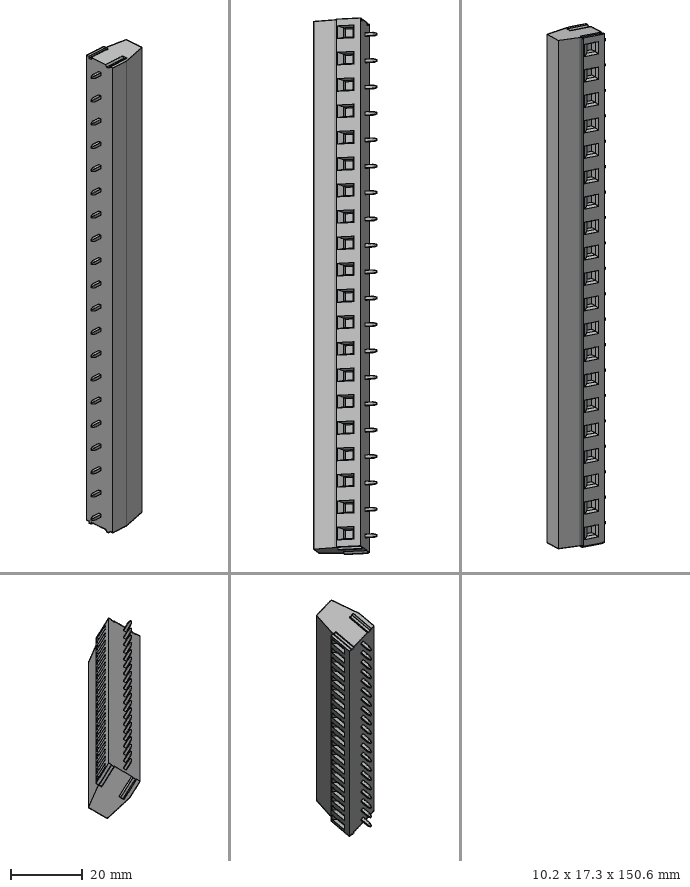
import cadquery as cq

total_length = 150.6
width = 10.2
total_depth = 17.3
pin_length = 3.3
body_depth = total_depth - pin_length

pole_count = 20
tab_height = 0.6
body_length = total_length - tab_height
pitch = body_length / pole_count

top_left = 1.8
top_right = 8.0
ledge_depth = 0.9
neck_y = 7.5
ledge_y = 7.0
shoulder_right_y = 5.5

entry_y_low = 2.0
entry_y_high = 6.6
entry_height = 3.6
throat_y_low = 2.4
throat_y_high = 5.1
throat_height = 2.7
funnel_depth = 1.0
throat_depth = 3.0

pin_x = 5.3
pin_size = 0.9
pin_tip_length = 0.9
pin_tip_size = 0.5

tab_y_high = 6.8
left_tab_x = 1.4
left_tab_root = 0.9
left_tab_crest = left_tab_root
right_tab_x = 8.3
right_tab_root = 1.7
right_tab_crest = 0.8


def make_housing():
    """Plain housing with a constant outline along Z."""
    outline = [
        (0, 0),
        (width, 0),
        (width, shoulder_right_y),
        (top_right, body_depth),
        (top_left, body_depth),
        (ledge_depth, neck_y),
        (ledge_depth, ledge_y),
        (0, ledge_y),
    ]
    return cq.Workplane("XY").polyline(outline).close().extrude(body_length)


def make_rail(center_x, root, crest, root_z):
    """Rail along Y that hangs down from root_z."""
    outline = [
        (center_x - root / 2, root_z),
        (center_x + root / 2, root_z),
        (center_x + crest / 2, root_z - tab_height),
        (center_x - crest / 2, root_z - tab_height),
    ]
    return cq.Workplane("XZ").polyline(outline).close().extrude(-tab_y_high)


def make_wire_entry(z):
    """Volume to remove for one wire entry centred at height z."""
    entry_y = (entry_y_low + entry_y_high) / 2
    throat_y = (throat_y_low + throat_y_high) / 2
    throat_width = throat_y_high - throat_y_low
    funnel = (
        cq.Workplane("YZ")
        .center(entry_y, z)
        .rect(entry_y_high - entry_y_low, entry_height)
        .workplane(offset=funnel_depth)
        .center(throat_y - entry_y, 0)
        .rect(throat_width, throat_height)
        .loft(ruled=True)
    )
    throat = (
        cq.Workplane("YZ")
        .center(throat_y, z)
        .rect(throat_width, throat_height)
        .extrude(throat_depth)
    )
    return funnel.union(throat)


def make_pin(z):
    """Square pin that points to -Y and ends in a tapered tip."""
    shank_length = pin_length - pin_tip_length
    shank = cq.Workplane("XZ").center(pin_x, z).rect(pin_size, pin_size).extrude(shank_length)
    tip = (
        cq.Workplane("XZ", origin=(pin_x, -shank_length, z))
        .rect(pin_size, pin_size)
        .workplane(offset=pin_tip_length)
        .rect(pin_tip_size, pin_tip_size)
        .loft(ruled=True)
    )
    return shank.union(tip)


result = make_housing()

for center_x, root, crest in (
    (left_tab_x, left_tab_root, left_tab_crest),
    (right_tab_x, right_tab_root, right_tab_crest),
):
    result = result.cut(make_rail(center_x, root, crest, body_length))
    result = result.union(make_rail(center_x, root, crest, 0))

for pole in range(pole_count):
    pole_z = (pole + 0.5) * pitch
    result = result.cut(make_wire_entry(pole_z))
    result = result.union(make_pin(pole_z))